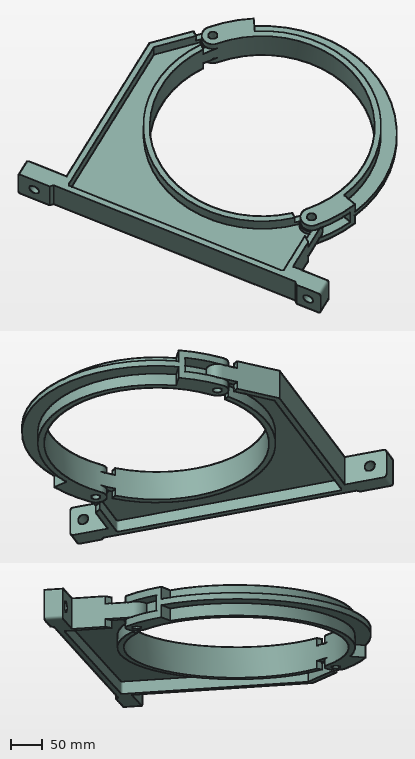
import cadquery as cq
import math


overall_length = 534.5
overall_height = 470.0
thickness = 50.0
wall = 10.0

center_x = 303.5
center_y = 256.5
bore_radius = 178.0
ring_radius = bore_radius + wall
clamp_radius = overall_height - center_y

hinge_tilt = -40.0
hinge_radius = (bore_radius + clamp_radius) / 2
knuckle_radius = (clamp_radius - bore_radius) / 2
boss_radius = 20.0
pin_diameter = 14.5
fork_span = 20.0
slot_height = thickness / 2
shoulder_drop = 24.5

foot_drop = 5.0
lug_height = 30.0
lug_corner_radius = 5.0
lug_hole_diameter = 17.0
left_foot_length = 55.5
right_foot_length = 42.0
left_hole_inset = 28.5
right_hole_inset = 22.0
pocket_corner_radius = 3.0
plate_left = 70.5

hinge_dx = hinge_radius * math.cos(math.radians(hinge_tilt))
hinge_dy = hinge_radius * math.sin(math.radians(hinge_tilt))
left_hinge = (center_x - hinge_dx, center_y - hinge_dy)
right_hinge = (center_x + hinge_dx, center_y + hinge_dy)
plate_right = right_hinge[0] + knuckle_radius
diagonal = knuckle_radius / math.sqrt(2)
slope_top = (left_hinge[0] - diagonal, left_hinge[1] + diagonal)
slope_bottom_y = slope_top[1] - (slope_top[0] - plate_left)

reach = 2 * overall_length


def centered_prism(sketch, height):
    """Extrude a sketch by height, centred on the mid-plane Z = 0."""
    return sketch.extrude(height).translate((0, 0, -height / 2))


def disc(radius, height, center=(0, 0)):
    return centered_prism(cq.Workplane("XY").center(*center).circle(radius), height)


def block(x_min, x_max, y_min, y_max, height):
    box = cq.Workplane("XY").box(x_max - x_min, y_max - y_min, height, centered=(False, False, True))
    return box.translate((x_min, y_min, 0))


def place_on_base(body):
    """Move a body from the hinge frame (hinges on X, bore at the origin) to its place."""
    return body.rotate((0, 0, 0), (0, 0, 1), hinge_tilt).translate((center_x, center_y, 0))


def plate_outline():
    points = [
        (plate_left, foot_drop),
        (plate_right, foot_drop),
        (plate_right, right_hinge[1]),
        slope_top,
        (plate_left, slope_bottom_y),
    ]
    return cq.Workplane("XY").polyline(points).close()


def make_pocket():
    """Both recesses of the plate, leaving the web, the bore ring and the hinge bosses."""
    pocket = centered_prism(plate_outline().offset2D(-wall), thickness)
    pocket = pocket.edges("|Z and <Y").fillet(pocket_corner_radius)
    pocket = pocket.cut(disc(ring_radius, thickness, (center_x, center_y)))
    for hinge in (left_hinge, right_hinge):
        pocket = pocket.cut(disc(boss_radius, thickness, hinge))
    return pocket.cut(block(-reach, reach, -reach, reach, wall))


def make_lug(foot_length, plate_inset, hole_inset):
    """Lug running along +X from its outer end at X = 0 to the plate edge."""
    points = [
        (0, 0),
        (foot_length, 0),
        (foot_length + foot_drop, foot_drop),
        (plate_inset + wall, foot_drop),
        (plate_inset + wall, foot_drop + wall),
        (plate_inset, lug_height),
        (0, lug_height),
    ]
    lug = centered_prism(cq.Workplane("XY").polyline(points).close(), thickness)
    lug = lug.faces("<X").edges("|Y").fillet(lug_corner_radius)
    hole = cq.Workplane("XZ").center(hole_inset, 0).circle(lug_hole_diameter / 2).extrude(-lug_height)
    return lug.cut(hole)


def make_base():
    base = centered_prism(plate_outline(), thickness)
    for hinge in (left_hinge, right_hinge):
        base = base.union(disc(knuckle_radius, thickness, hinge))
    base = base.cut(make_pocket())
    prong_space = block(-reach, reach, -shoulder_drop, reach, thickness)
    prong_space = prong_space.cut(block(-reach, reach, -reach, reach, slot_height))
    base = base.cut(place_on_base(prong_space))
    left_lug = make_lug(left_foot_length, plate_left, left_hole_inset)
    right_lug = make_lug(right_foot_length, overall_length - plate_right, right_hole_inset)
    right_lug = right_lug.mirror("YZ").translate((overall_length, 0, 0))
    base = base.union(left_lug).union(right_lug)
    return base.cut(disc(bore_radius, thickness, (center_x, center_y)))


def polar(radius, angle):
    return (radius * math.cos(math.radians(angle)), radius * math.sin(math.radians(angle)))


def below_fork_end(height, clearance):
    """Space on the hinge side of a fork block's end face, held back by a clearance."""
    space = block(0, reach, -reach, -clearance, height)
    return space.rotate((0, 0, 0), (0, 0, 1), fork_span)


def make_fork():
    """Slotted fork block at the +X hinge, in the hinge frame: a ring sector with a round end."""
    outline = (
        cq.Workplane("XY")
        .moveTo(bore_radius, 0)
        .threePointArc((hinge_radius, -knuckle_radius), (clamp_radius, 0))
        .threePointArc(polar(clamp_radius, fork_span / 2), polar(clamp_radius, fork_span))
        .lineTo(*polar(bore_radius, fork_span))
        .threePointArc(polar(bore_radius, fork_span / 2), (bore_radius, 0))
        .close()
    )
    slot = below_fork_end(slot_height, wall).cut(disc(ring_radius, slot_height))
    return centered_prism(outline, thickness).cut(slot)


def make_clamp():
    web = disc(clamp_radius, wall).intersect(block(-reach, reach, 0, reach, wall))
    fork_sector = below_fork_end(wall, 0)
    web = web.cut(fork_sector).cut(fork_sector.mirror("YZ"))
    collar = disc(ring_radius, thickness).intersect(block(-reach, reach, 0, reach, thickness))
    collar = collar.union(web).cut(disc(bore_radius, thickness))
    fork = make_fork()
    return place_on_base(collar.union(fork).union(fork.mirror("YZ")))


result = make_base().union(make_clamp())
for hinge_center in (left_hinge, right_hinge):
    result = result.cut(disc(pin_diameter / 2, thickness, hinge_center))